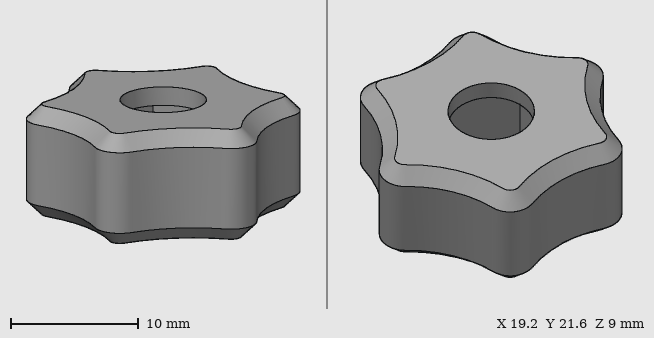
import cadquery as cq
import math

tip_diameter = 21.55
thickness = 9.0
lobe_count = 6
lobe_radius = 2.0
scallop_radius = 10.0
edge_chamfer = 1.2
bore_diameter = 6.75
bore_depth = 1.5
hex_corner_diameter = 12.89

half_pitch = math.pi / lobe_count
lobe_center_radius = tip_diameter / 2 - lobe_radius
center_spacing = lobe_radius + scallop_radius
lobe_offset = lobe_center_radius * math.sin(half_pitch)
scallop_center_radius = lobe_center_radius * math.cos(half_pitch) + math.sqrt(
    center_spacing**2 - lobe_offset**2
)
scallop_bottom_radius = scallop_center_radius - scallop_radius


def polar(radius, angle):
    return (radius * math.cos(angle), radius * math.sin(angle))


def tangent_point(lobe_angle, scallop_angle):
    """Point where a lobe arc meets its neighbouring scallop arc."""
    lobe_x, lobe_y = polar(lobe_center_radius, lobe_angle)
    scallop_x, scallop_y = polar(scallop_center_radius, scallop_angle)
    fraction = lobe_radius / center_spacing
    return (
        lobe_x + fraction * (scallop_x - lobe_x),
        lobe_y + fraction * (scallop_y - lobe_y),
    )


def knob_outline():
    """Closed star outline made of one lobe arc and one scallop arc per pitch."""
    first_lobe = math.pi / 2
    outline = cq.Workplane("XY").moveTo(*tangent_point(first_lobe, first_lobe - half_pitch))
    for index in range(lobe_count):
        lobe = first_lobe + 2 * half_pitch * index
        scallop = lobe + half_pitch
        next_lobe = scallop + half_pitch
        outline = outline.threePointArc(
            polar(tip_diameter / 2, lobe), tangent_point(lobe, scallop)
        )
        outline = outline.threePointArc(
            polar(scallop_bottom_radius, scallop), tangent_point(next_lobe, scallop)
        )
    return outline.close()


body = knob_outline().extrude(thickness).faces("<Z or >Z").chamfer(edge_chamfer)

bore = cq.Workplane("XY").circle(bore_diameter / 2).extrude(thickness)
nut_pocket = cq.Workplane("XY").polygon(6, hex_corner_diameter).extrude(thickness - bore_depth)

result = body.cut(bore).cut(nut_pocket)